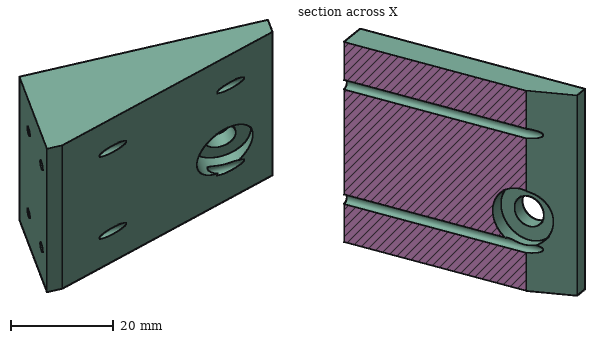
import cadquery as cq

thickness = 19.05
length = 50.8
height = 44.45

tip_thickness = 3.2
foot_length = 3.15

mount_hole_diameter = 2.05
mount_hole_first_x = 6.35
mount_hole_spacing_x = 8.9
mount_hole_spacing_z = 25.4

cross_hole_diameter = 6.6
cross_hole_from_tip = 10.8
cross_hole_z = 15.9

counterbore_diameter = 12.7
counterbore_floor_x = tip_thickness


def wedge():
    """Tapered block, thick at the front face and thin at the back."""
    outline = [
        (0, 0),
        (thickness, 0),
        (thickness, foot_length),
        (tip_thickness, length),
        (0, length),
    ]
    return cq.Workplane("XY").polyline(outline).close().extrude(height)


def mount_holes():
    """Cylinders running the full length from the front face."""
    columns = [mount_hole_first_x, mount_hole_first_x + mount_hole_spacing_x]
    rows = [(height - mount_hole_spacing_z) / 2, (height + mount_hole_spacing_z) / 2]
    centers = [(x, z) for x in columns for z in rows]
    return cq.Workplane("XZ").pushPoints(centers).circle(mount_hole_diameter / 2).extrude(-length)


def cross_cylinder(diameter, start_x):
    """Cylinder on the cross hole axis, from start_x out past the sloping side."""
    center = (length - cross_hole_from_tip, cross_hole_z)
    plane = cq.Workplane("YZ", origin=(start_x, 0, 0))
    return plane.moveTo(*center).circle(diameter / 2).extrude(thickness)


cross_hole = cross_cylinder(cross_hole_diameter, 0)
counterbore = cross_cylinder(counterbore_diameter, counterbore_floor_x)

result = wedge().cut(mount_holes()).cut(cross_hole).cut(counterbore)